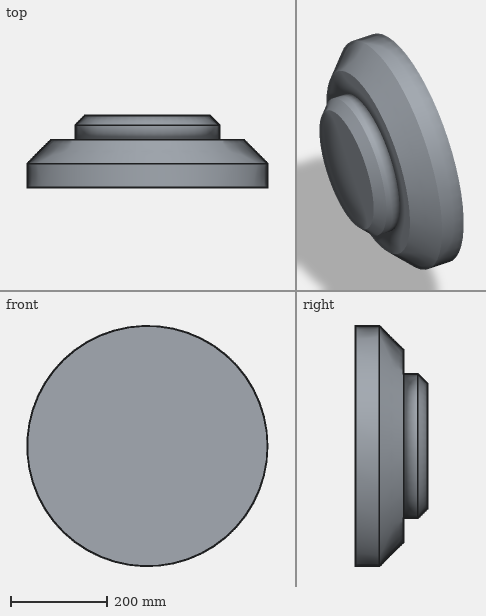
import cadquery as cq

flange_diameter = 500.0
flange_thickness = 100.0
flange_chamfer = 50.0
boss_diameter = 300.0
boss_height = 50.0
boss_chamfer = 20.0


def chamfered_disc(diameter, thickness, chamfer, start_y):
    """Disc running from start_y toward +Y, with its +Y rim chamfered."""
    disc = cq.Workplane("XZ", origin=(0, start_y, 0)).circle(diameter / 2).extrude(-thickness)
    return disc.faces(">Y").edges().chamfer(chamfer)


flange = chamfered_disc(flange_diameter, flange_thickness, flange_chamfer, 0.0)
boss = chamfered_disc(boss_diameter, boss_height, boss_chamfer, flange_thickness)

result = flange.union(boss)